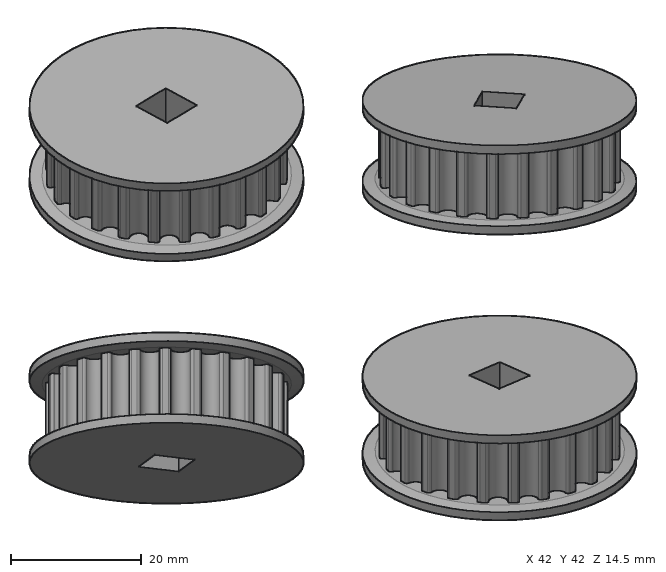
import cadquery as cq
import math

tooth_count = 24
belt_pitch = 5.0
pitch_line_offset = 0.5715
groove_depth = 2.06
groove_radius = 1.49
tip_fillet = 0.43

overall_height = 14.5
toothed_height = 11.0
flange_diameter = 42.0
flange_rim_height = 1.4
bore_side = 6.6

flange_height = (overall_height - toothed_height) / 2
flange_radius = flange_diameter / 2
pitch_radius = tooth_count * belt_pitch / (2 * math.pi)
tip_radius = pitch_radius - pitch_line_offset
groove_bottom_radius = tip_radius - groove_depth
groove_axis_radius = groove_bottom_radius + groove_radius
tooth_angle = 2 * math.pi / tooth_count

fillet_center_radius = tip_radius - tip_fillet
fillet_center_y = groove_radius + tip_fillet
fillet_center_x = math.sqrt(fillet_center_radius**2 - fillet_center_y**2)
fillet_center_angle = math.asin(fillet_center_y / fillet_center_radius)


def rotated(point, angle):
    """Rotate a point about the pulley axis."""
    x, y = point
    return (
        x * math.cos(angle) - y * math.sin(angle),
        x * math.sin(angle) + y * math.cos(angle),
    )


def fillet_point(angle):
    """Point on the fillet on the +Y side of the groove, at an angle about the fillet centre."""
    return (
        fillet_center_x + tip_fillet * math.cos(angle),
        fillet_center_y + tip_fillet * math.sin(angle),
    )


def mirrored(point):
    """Mirror a point to the -Y side of the groove."""
    return (point[0], -point[1])


def toothed_drum():
    """Toothed drum; each groove has a round bottom, parallel walls and filleted corners."""
    groove_bottom = (groove_bottom_radius, 0)
    wall_start = (groove_axis_radius, groove_radius)
    wall_end = fillet_point(-math.pi / 2)
    fillet_middle = fillet_point((fillet_center_angle - math.pi / 2) / 2)
    tip_start = fillet_point(fillet_center_angle)
    tip_middle = rotated((tip_radius, 0), tooth_angle / 2)

    outline = cq.Workplane("XY").moveTo(*mirrored(tip_start))
    for index in range(tooth_count):
        angle = index * tooth_angle
        next_angle = angle + tooth_angle
        outline = (
            outline.threePointArc(
                rotated(mirrored(fillet_middle), angle),
                rotated(mirrored(wall_end), angle),
            )
            .lineTo(*rotated(mirrored(wall_start), angle))
            .threePointArc(rotated(groove_bottom, angle), rotated(wall_start, angle))
            .lineTo(*rotated(wall_end, angle))
            .threePointArc(rotated(fillet_middle, angle), rotated(tip_start, angle))
            .threePointArc(
                rotated(tip_middle, angle),
                rotated(mirrored(tip_start), next_angle),
            )
        )
    return outline.close().extrude(toothed_height)


def flange():
    """Bottom flange: straight rim, then a shallow cone rising to the pitch radius."""
    return (
        cq.Workplane("XZ")
        .lineTo(flange_radius, 0)
        .lineTo(flange_radius, flange_rim_height)
        .lineTo(pitch_radius, flange_height)
        .lineTo(0, flange_height)
        .close()
        .revolve(360, (0, 0, 0), (0, 1, 0))
    )


bottom_flange = flange()
top_flange = bottom_flange.mirror("XY").translate((0, 0, overall_height))
drum = toothed_drum().translate((0, 0, flange_height))
square_bore = cq.Workplane("XY").rect(bore_side, bore_side).extrude(overall_height)

result = bottom_flange.union(drum).union(top_flange).cut(square_bore)